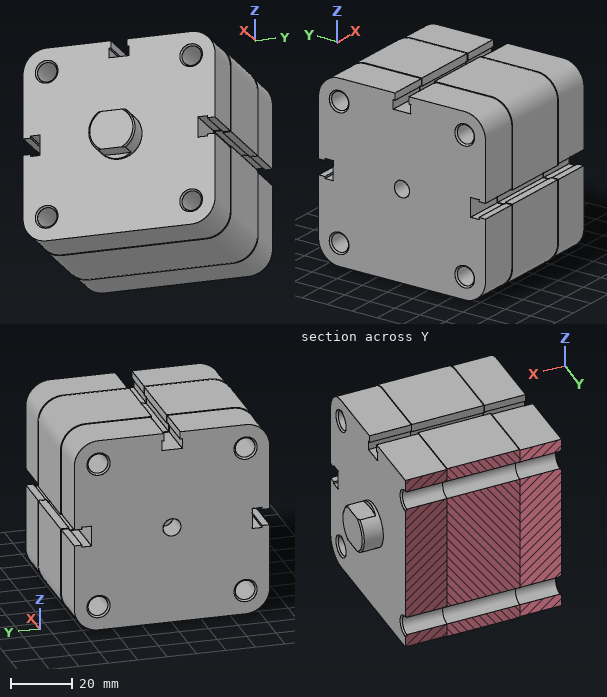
import cadquery as cq

CAP_LENGTH = 15.0
BARREL_LENGTH = 26.1
TOTAL_LENGTH = 63.5
BODY_LENGTH = 2 * CAP_LENGTH + BARREL_LENGTH
ROD_LENGTH = TOTAL_LENGTH - BODY_LENGTH

BARREL_WIDTH = 67
CAP_INSET = 0.3

BOLT_SPACING = 50.0
BOLT_HOLE_DIAMETER = 6.7
BOLT_CHAMFER_DIAMETER = 7.85
CORNER_RADIUS = (BARREL_WIDTH - BOLT_SPACING) / 2

MOUTH_WIDTH = 5.0
MOUTH_DEPTH = 2.9
CHANNEL_WIDTH = 6.4
SLOT_DEPTH = 5.9
SLOT_ANGLES = (0, 90, -90)

CENTRE_HOLE_DIAMETER = 6
CENTRE_HOLE_DEPTH = 9.05

ROD_DIAMETER = 16.0
ROD_CHAMFER = 0.55
FLATS_WIDTH = 13.0
FLAT_START = 0.9
FLAT_END_RADIUS = 26.8


def slot_cutter(start, length, inset):
    """Stepped slot along X in the top face, widened and lowered by the inset."""
    surface = BARREL_WIDTH / 2
    shoulder = surface - MOUTH_DEPTH
    floor = surface - SLOT_DEPTH - inset
    profile = cq.Workplane("YZ", origin=(start, 0, 0))
    mouth = (
        profile.center(0, (surface + floor) / 2)
        .rect(MOUTH_WIDTH + 2 * inset, surface - floor)
        .extrude(length)
    )
    channel = (
        profile.center(0, (shoulder + floor) / 2)
        .rect(CHANNEL_WIDTH + 2 * inset, shoulder - floor)
        .extrude(length)
    )
    return mouth.union(channel)


def slotted_section(start, length, inset):
    """Rounded square block along X with bolt holes and three stepped slots."""
    width = BARREL_WIDTH - 2 * inset
    section = (
        cq.Workplane("YZ", origin=(start, 0, 0))
        .rect(width, width)
        .extrude(length)
        .edges("|X")
        .fillet(CORNER_RADIUS - inset)
        .faces("<X")
        .workplane()
        .rect(BOLT_SPACING, BOLT_SPACING, forConstruction=True)
        .vertices()
        .hole(BOLT_HOLE_DIAMETER)
    )
    slot = slot_cutter(start, length, inset)
    for angle in SLOT_ANGLES:
        section = section.cut(slot.rotate((0, 0, 0), (1, 0, 0), angle))
    return section


def countersink_bolt_holes(cap, face):
    """Chamfer the bolt hole rims, the smallest round edges of the chosen end face."""
    chamfer = (BOLT_CHAMFER_DIAMETER - BOLT_HOLE_DIAMETER) / 2
    return cap.faces(face).edges(cq.selectors.RadiusNthSelector(0)).chamfer(chamfer)


def make_rear_cap():
    """Cap on the plain end, with the blind centring hole in its outer face."""
    cap = countersink_bolt_holes(slotted_section(0, CAP_LENGTH, CAP_INSET), "<X")
    centre_hole = cq.Workplane("YZ").circle(CENTRE_HOLE_DIAMETER / 2).extrude(CENTRE_HOLE_DEPTH)
    return cap.cut(centre_hole)


def make_barrel():
    """Middle section, full width."""
    return slotted_section(CAP_LENGTH, BARREL_LENGTH, 0)


def make_front_cap():
    """Cap on the rod end."""
    start = CAP_LENGTH + BARREL_LENGTH
    return countersink_bolt_holes(slotted_section(start, CAP_LENGTH, CAP_INSET), ">X")


def make_rod():
    """Rod stub on the front cap; each flat ends in an arc that curves toward the cap."""
    rod = (
        cq.Workplane("YZ", origin=(BODY_LENGTH, 0, 0))
        .circle(ROD_DIAMETER / 2)
        .extrude(ROD_LENGTH)
        .faces(">X")
        .chamfer(ROD_CHAMFER)
    )
    arc_centre = BODY_LENGTH + FLAT_START + FLAT_END_RADIUS
    flat_cutter = (
        cq.Workplane("XY", origin=(arc_centre, 0, FLATS_WIDTH / 2))
        .circle(FLAT_END_RADIUS)
        .extrude(ROD_DIAMETER)
    )
    return rod.cut(flat_cutter).cut(flat_cutter.mirror("XY"))


rear_cap = make_rear_cap()
barrel = make_barrel()
front_cap = make_front_cap()
rod = make_rod()

result = cq.Compound.makeCompound([rear_cap.val(), barrel.val(), front_cap.val(), rod.val()])